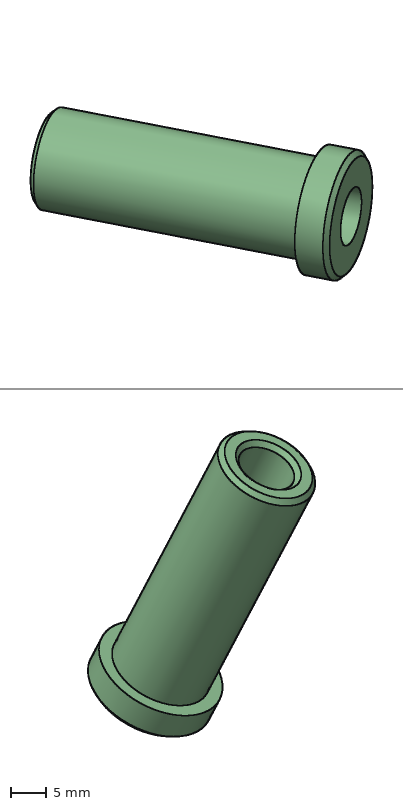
import cadquery as cq

total_length = 46.0
head_length = 5.0
head_diameter = 18.9
shank_diameter = 14.9
bore_diameter = 8.5
chamfer = 0.75

shank_length = total_length - head_length


def cylinder(start_x, length, diameter):
    """Solid cylinder about the X axis, running from start_x towards +X."""
    return cq.Workplane("YZ", origin=(start_x, 0, 0)).circle(diameter / 2).extrude(length)


def make_shank():
    """Shank with its free end chamfered."""
    return cylinder(0, shank_length, shank_diameter).faces("<X").chamfer(chamfer)


def make_head():
    """Wider head with its outer end chamfered."""
    return cylinder(shank_length, head_length, head_diameter).faces(">X").chamfer(chamfer)


def cut_bore(body):
    """Through bore with a chamfered mouth at the shank end."""
    bored = body.cut(cylinder(0, total_length, bore_diameter))
    mouth = bored.faces("<X").edges(cq.selectors.RadiusNthSelector(0))
    return mouth.chamfer(chamfer)


result = cut_bore(make_shank().union(make_head()))